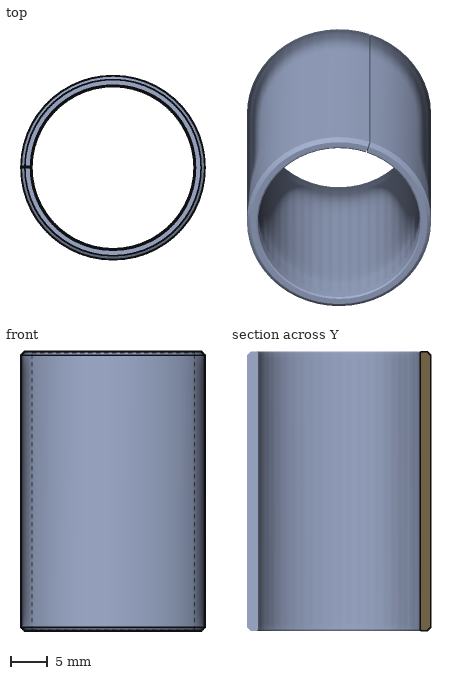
import cadquery as cq

length = 38.0
outer_diameter = 25.0
wall = 1.5
outer_chamfer = 0.55
inner_chamfer = 0.2
slit_width = 0.15

outer_radius = outer_diameter / 2
inner_radius = outer_radius - wall


def sleeve():
    """Tube with both ends chamfered on the bore rim and the outer rim."""
    tube = cq.Workplane("XY").circle(outer_radius).circle(inner_radius).extrude(length)
    tube = tube.translate((0, 0, -length / 2))
    bore_rims = tube.edges(cq.selectors.RadiusNthSelector(0))
    tube = bore_rims.chamfer(inner_chamfer)
    outer_rims = tube.edges(cq.selectors.RadiusNthSelector(-1))
    return outer_rims.chamfer(outer_chamfer)


def slit():
    """Full-length slit through the wall on the -X side, lying just on the +Y side of the axis plane."""
    return (
        cq.Workplane("XY")
        .box(outer_radius, slit_width, length, centered=(True, False, True))
        .translate((-outer_radius, 0, 0))
    )


result = sleeve().cut(slit())